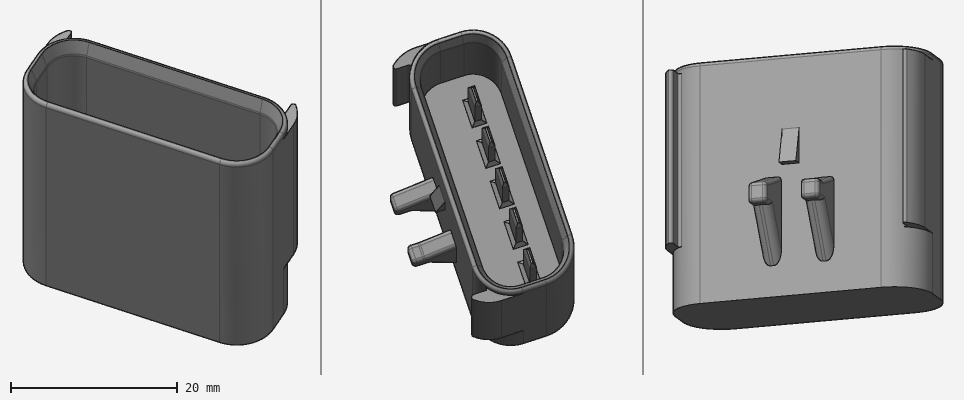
import cadquery as cq
import math

width = 32.7
depth = 12.62
height = 30.0
corner_radius = 4.85
rim_radius = 0.5

wall = 1.28
cavity_depth = 20.0
mouth_wall = 0.6
lead_in_depth = 1.83
lead_in_blend = 0.8

wing_bottom = 7.5
wing_top = height - 0.98
wing_round_start_y = 10.53
wing_inner_x = 14.6
wing_tip_radius = 0.33
wing_root_radius = 0.25

arm_reach_y = 18.1
arm_width = 2.35
arm_tip_bottom = 10.43
arm_tip_top = 12.85
arm_top_slope = 20.0
arm_bottom_flat = 1.37
arm_root_bottom = 3.9
arm_rounding = 0.5
arm_belly_rounding = 0.98
arm_bend_radius = 0.65
arm_embed = 0.65
left_arm_x = -4.32
right_arm_x = 2.35
left_arm_top_flat = 1.47

lock_width = 2.15
lock_reach_y = 13.8
lock_bottom = 16.35
lock_ramp_angle = 75.0

pin_count = 5
pin_pitch = 5.23
pin_y = 5.0
pin_foot_length = 3.55
pin_foot_thickness = 1.85
pin_foot_chamfer = 0.52
pin_height = 10.0
pin_tip_height = 1.18
pin_tip_length_inset = 0.35
pin_tip_thickness_inset = 0.3

cavity_floor = height - cavity_depth
pick_margin = 0.03


def inset_outline(z, inset):
    """Housing outline at height z, moved inward by inset."""
    outline = cq.Sketch().rect(width - 2 * inset, depth - 2 * inset)
    outline = outline.vertices().fillet(corner_radius - inset)
    return cq.Workplane("XY", origin=(0, depth / 2, z)).placeSketch(outline)


def make_housing_block():
    """Solid block with round corners and a rounded outer top edge."""
    return inset_outline(0, 0).extrude(height).faces(">Z").edges().fillet(rim_radius)


def make_cavity():
    """Straight cavity with a tapered lead-in at the rim."""
    lead_in_bottom = height - lead_in_depth
    taper = math.degrees(math.atan((wall - mouth_wall) / lead_in_depth))
    straight = inset_outline(cavity_floor, wall).extrude(cavity_depth - lead_in_depth)
    lead_in = inset_outline(lead_in_bottom, wall).extrude(lead_in_depth, taper=-taper)
    cavity = straight.union(lead_in)
    bend = cq.selectors.BoxSelector(
        (-width, -depth, lead_in_bottom - pick_margin),
        (width, 2 * depth, lead_in_bottom + pick_margin),
    )
    return cavity.edges(bend).fillet(lead_in_blend)


def make_left_wing():
    """Thin upright fin, blended into the round rear corner of the housing."""
    side_x = -width / 2
    centre_x = side_x + corner_radius
    corner_y = depth - corner_radius
    inner_x = -wing_inner_x

    tip_x = inner_x - wing_tip_radius
    tip_arm = corner_radius - wing_tip_radius
    tip_angle = math.acos((tip_x - centre_x) / tip_arm)
    tip_y = wing_round_start_y + tip_arm * math.sin(tip_angle)
    outer_end = (
        centre_x + corner_radius * math.cos(tip_angle),
        wing_round_start_y + corner_radius * math.sin(tip_angle),
    )

    root_x = inner_x + wing_root_radius
    root_angle = math.acos((root_x - centre_x) / (corner_radius + wing_root_radius))
    root_y = corner_y + (corner_radius + wing_root_radius) * math.sin(root_angle)
    root_end = (
        centre_x + corner_radius * math.cos(root_angle),
        corner_y + corner_radius * math.sin(root_angle),
    )

    return (
        cq.Workplane("XY", origin=(0, 0, wing_bottom))
        .moveTo(side_x, corner_y)
        .lineTo(side_x, wing_round_start_y)
        .radiusArc(outer_end, corner_radius)
        .radiusArc((inner_x, tip_y), wing_tip_radius)
        .lineTo(inner_x, root_y)
        .radiusArc(root_end, -wing_root_radius)
        .lineTo(centre_x, corner_y)
        .close()
        .extrude(wing_top - wing_bottom)
    )


def make_arm(centre_x, top_flat):
    """Rounded latch arm; its top is level over top_flat, then rises to the housing."""
    root_y = depth - arm_embed
    bottom_corner_y = arm_reach_y - arm_bottom_flat
    bottom_slope = (arm_tip_bottom - arm_root_bottom) / (bottom_corner_y - depth)
    root_z = arm_root_bottom - arm_embed * bottom_slope
    rise_start_y = arm_reach_y - top_flat
    rise = (rise_start_y - root_y) * math.tan(math.radians(arm_top_slope))

    outline = [
        (root_y, root_z),
        (bottom_corner_y, arm_tip_bottom),
        (arm_reach_y, arm_tip_bottom),
        (arm_reach_y, arm_tip_top),
    ]
    if top_flat > 0:
        outline.append((rise_start_y, arm_tip_top))
    outline.append((root_y, arm_tip_top + rise))

    arm = cq.Workplane("YZ", origin=(centre_x, 0, 0)).polyline(outline).close()
    arm = arm.extrude(arm_width / 2, both=True)
    if top_flat > 0:
        bend = cq.selectors.NearestToPointSelector((centre_x, rise_start_y, arm_tip_top))
        arm = arm.edges(bend).fillet(arm_bend_radius)
    belly_middle = ((root_y + bottom_corner_y) / 2, (root_z + arm_tip_bottom) / 2)
    for side in (-1, 1):
        belly = cq.selectors.NearestToPointSelector((centre_x + side * arm_width / 2, *belly_middle))
        arm = arm.edges(belly).fillet(arm_belly_rounding)
    above_belly = cq.selectors.BoxSelector(
        (-width, root_y + pick_margin, arm_tip_bottom - pick_margin),
        (width, arm_reach_y + pick_margin, height),
    )
    return arm.faces("<X or >X or >Y").edges(above_belly).fillet(arm_rounding)


def make_lock():
    """Wedge with a level underside and a steep ramp above it."""
    ramp_slope = math.tan(math.radians(lock_ramp_angle))
    root_y = depth - arm_embed
    return (
        cq.Workplane("YZ")
        .moveTo(root_y, lock_bottom)
        .lineTo(lock_reach_y, lock_bottom)
        .lineTo(root_y, lock_bottom + (lock_reach_y - root_y) * ramp_slope)
        .close()
        .extrude(lock_width / 2, both=True)
    )


def make_pin(x):
    """Flat contact blade with a chamfered foot and a tapered tip."""
    foot = cq.Workplane("XY", origin=(x, pin_y, cavity_floor))
    blade_length = pin_foot_length - 2 * pin_foot_chamfer
    blade_thickness = pin_foot_thickness - 2 * pin_foot_chamfer
    tip_length = blade_length - 2 * pin_tip_length_inset
    tip_thickness = blade_thickness - 2 * pin_tip_thickness_inset
    shoulder = pin_height - pin_tip_height

    base = foot.rect(pin_foot_length, pin_foot_thickness).extrude(pin_foot_chamfer, taper=45)
    blade = foot.rect(blade_length, blade_thickness).extrude(shoulder)
    tip = (
        foot.workplane(offset=shoulder)
        .rect(blade_length, blade_thickness)
        .workplane(offset=pin_tip_height)
        .rect(tip_length, tip_thickness)
        .loft(ruled=True)
    )
    return base.union(blade).union(tip)


left_wing = make_left_wing()
result = make_housing_block().union(left_wing).union(left_wing.mirror("YZ"))
result = result.cut(make_cavity())
result = result.union(make_arm(left_arm_x, left_arm_top_flat))
result = result.union(make_arm(right_arm_x, 0))
result = result.union(make_lock())
for index in range(pin_count):
    result = result.union(make_pin((index - (pin_count - 1) / 2) * pin_pitch))